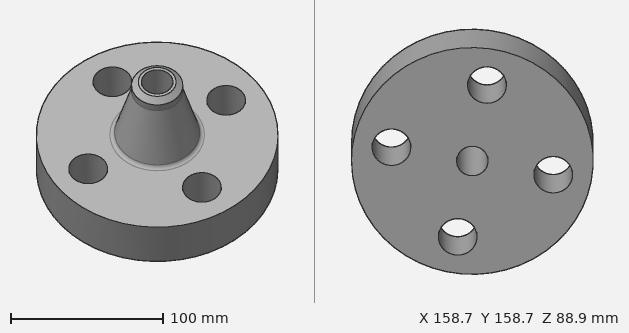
import cadquery as cq

flange_diameter = 158.7
flange_thickness = 35.0
total_height = 88.9

bolt_circle_diameter = 108.0
bolt_hole_diameter = 25.4
bolt_hole_count = 4

hub_base_diameter = 57.1
hub_root_fillet = 3.2
neck_diameter = 33.6
neck_length = 5.9
bevel_height = 3.5
tip_diameter = 24.8
bore_diameter = 20.6

bevel_start_height = total_height - bevel_height
neck_start_height = bevel_start_height - neck_length


def flange_with_hub():
    """Solid of revolution about Z: disc, tapered hub, straight neck and weld bevel."""
    profile = (
        cq.Workplane("XZ")
        .lineTo(flange_diameter / 2, 0)
        .lineTo(flange_diameter / 2, flange_thickness)
        .lineTo(hub_base_diameter / 2, flange_thickness)
        .lineTo(neck_diameter / 2, neck_start_height)
        .lineTo(neck_diameter / 2, bevel_start_height)
        .lineTo(tip_diameter / 2, total_height)
        .lineTo(0, total_height)
        .close()
    )
    return profile.revolve(360, (0, 0, 0), (0, 1, 0))


def round_hub_root(body):
    """Fillet the circle where the hub meets the top face of the disc."""
    hub_root = cq.selectors.RadiusNthSelector(2)
    return body.edges(hub_root).fillet(hub_root_fillet)


def bore():
    return cq.Workplane("XY").circle(bore_diameter / 2).extrude(total_height)


def bolt_holes():
    """Cylinders on the bolt circle, the first one on the X axis."""
    return (
        cq.Workplane("XY")
        .polarArray(bolt_circle_diameter / 2, 0, 360, bolt_hole_count)
        .circle(bolt_hole_diameter / 2)
        .extrude(flange_thickness)
    )


result = round_hub_root(flange_with_hub()).cut(bore()).cut(bolt_holes())